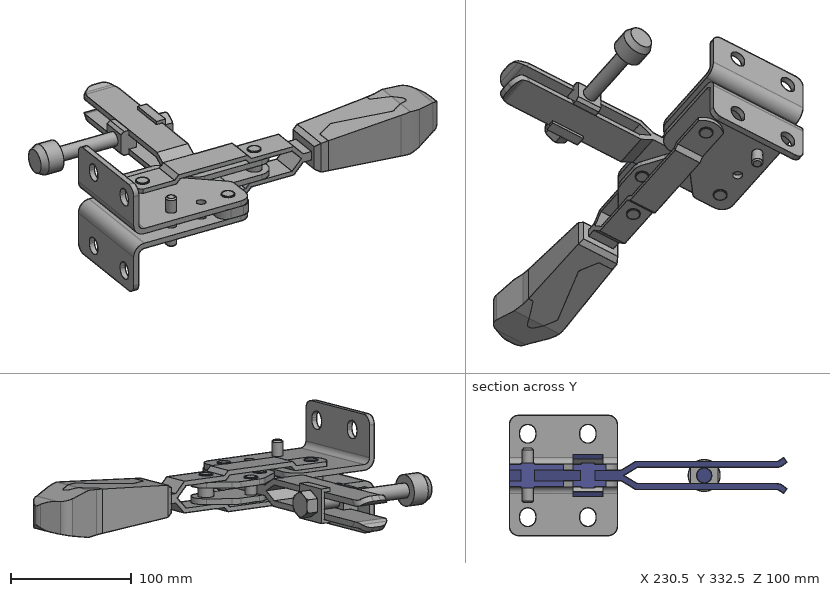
import cadquery as cq
import math


arm_sheet = 5.0
arm_tail = 9.0
arm_tail_half = arm_tail / 2
base_sheet = 5.0
lever_sheet = 4.0
bracket_outer = arm_tail_half + base_sheet
lever_outer = bracket_outer + lever_sheet
rivet_head = 1.0
rivet_dia = 11.5
rivet_chamfer = 0.5

lever_pivot = (0, 47.2)
link_lever_pivot = (0, 155.0)
link_arm_pivot = (0, 99.8)
arm_pivot = (50, 100.0)

overall_width = 230.5
arm_width = 30
arm_low = link_arm_pivot[1] - arm_width / 2
arm_high = arm_low + arm_width
base_right = 65.2
base_top = arm_high

base_left = -24.5
base_shelf = 83.5
shelf_end = 6.5
slope_top = 32.5
shelf_fillet = 14.0
top_fillet = 11.3
slope_fillet = 6.5
bend_inner = 5.3
overall_height = 100.0
flange_half = overall_height / 2
flange_corner = 8.0
slot_width = 13.3
slot_length = 15.3
slot_z = 34.5
plain_hole_dia = 8.0
plain_hole = (arm_pivot[0], 74.0)
stop_pin = (arm_pivot[0], 45.2)
stop_pin_dia = 9.3
stop_pin_half = 22.5
stop_pin_chamfer = 1.3
lever_spacer_dia = 20.3

arm_left = base_right - overall_width
arm_half = 11.5
fork_start = -27.5
fork_end = -39.5
tip_bend = -157.5
tip_angle = 36
tip_bend_inner = 3.3
tip_fillet = 11.3
tail_fillet = 9.0

lever_width = 25.0
lever_foot = 35.0
lever_foot_radius = 17.3
lever_neck_half = lever_sheet
lever_end = 202.8
lever_bends = [(195.0, 186.0), (145.0, 141.0), (74.8, 70.8)]
lever_raised = lever_outer + lever_sheet

link_end_radius = lever_width / 2
link_corner_offset = 13.5
link_corner_fillet = 13.3
link_spacer_dia = 13.3
stop_rivet = (-15.0, 119.7)

spindle_x = -96.5
rod_dia = 12.5
hex_flats = 19.5
hex_end = 128.5
hex_chamfer = 1.0
washer_thickness = 3.0
washer_length = 30.5
washer_half = 14.5
washer_lip_end = 109.0
block_length = 22.5
block_half = 11.3
block_low = 77.0
block_inner_top = 92.0
block_chamfer_y = 3.0
block_chamfer_z = 2.3
foot_dia = 26.5
foot_top = 21.0
foot_chamfer_top = 6.5
foot_end_dia = 20.5
foot_end = 0.5

grip_top = 332.5
grip_chamfer_top = 207.8
grip_crest = 293.5
grip_crown = 324.0
grip_crest_half = 20
grip_shoulder_half = 13.5
grip_foot_half = 10.5
grip_end_half = 8.0
left_seam = 277.0
right_seam = 214.8


def both_sides(shape):
    """The shape joined with its mirror image about the mid-plane."""
    return shape.union(shape.mirror("XY"))


def pin(place, diameter, half_length, chamfer=0):
    """Round pin along Z, centred on the mid-plane."""
    body = (
        cq.Workplane("XY", origin=(*place, -half_length))
        .circle(diameter / 2)
        .extrude(2 * half_length)
    )
    if chamfer:
        body = body.faces("<Z or >Z").chamfer(chamfer)
    return body


def rivet(place, outer_face):
    """Rivet whose ends stand proud of the given outer faces."""
    return pin(place, rivet_dia, outer_face + rivet_head, rivet_chamfer)


def sheet_outline(outer, thickness):
    """Closed section of a bent sheet from its outer line; the sheet lies to the right of that line."""
    headings = [math.atan2(b[1] - a[1], b[0] - a[0]) for a, b in zip(outer, outer[1:])]
    inner = []
    for index, (along, up) in enumerate(outer):
        before = headings[max(index - 1, 0)]
        after = headings[min(index, len(headings) - 1)]
        bisector = (before + after) / 2
        reach = thickness / math.cos((after - before) / 2)
        inner.append((along + reach * math.sin(bisector), up - reach * math.cos(bisector)))
    return outer + inner[::-1]


def make_base():
    plate_outline = [
        (base_left, base_sheet + bend_inner),
        (base_left, base_shelf),
        (shelf_end, base_shelf),
        (slope_top, base_top),
        (base_right, base_top),
        (base_right, base_sheet + bend_inner),
    ]
    plate = (
        cq.Workplane("XY", origin=(0, 0, arm_tail_half))
        .polyline(plate_outline).close().extrude(base_sheet)
    )
    plate_mid = arm_tail_half + base_sheet / 2
    for corner, radius in (
        ((base_left, base_shelf), shelf_fillet),
        ((slope_top, base_top), slope_fillet),
        ((base_right, base_top), top_fillet),
    ):
        plate = plate.edges(cq.selectors.NearestToPointSelector((*corner, plate_mid))).fillet(radius)

    bend_outer = bend_inner + base_sheet
    bend_z = arm_tail_half + bend_outer
    diagonal = math.sqrt(0.5)
    bend_and_flange = (
        cq.Workplane("YZ", origin=(base_left, 0, 0))
        .moveTo(bend_outer, arm_tail_half)
        .threePointArc(
            (bend_outer * (1 - diagonal), bend_z - bend_outer * diagonal),
            (0, bend_z),
        )
        .lineTo(0, flange_half)
        .lineTo(base_sheet, flange_half)
        .lineTo(base_sheet, bend_z)
        .threePointArc(
            (bend_outer - bend_inner * diagonal, bend_z - bend_inner * diagonal),
            (bend_outer, bracket_outer),
        )
        .close()
        .extrude(base_right - base_left)
        .faces(">Z").edges("|Y").fillet(flange_corner)
    )
    slots = (
        cq.Workplane("XZ")
        .pushPoints([(lever_pivot[0], slot_z), (arm_pivot[0], slot_z)])
        .slot2D(slot_length, slot_width, 90)
        .extrude(-base_sheet)
    )
    brackets = both_sides(plate.union(bend_and_flange).cut(slots))
    return (
        brackets
        .cut(pin(plain_hole, plain_hole_dia, bracket_outer))
        .union(pin(stop_pin, stop_pin_dia, stop_pin_half, stop_pin_chamfer))
        .union(rivet(arm_pivot, bracket_outer))
        .union(rivet(lever_pivot, lever_outer))
        .union(pin(lever_pivot, lever_spacer_dia, arm_tail_half))
    )


def make_arm():
    tilt = math.radians(tip_angle)
    tip_x = arm_left + arm_sheet * math.sin(tilt)
    tip_z = arm_half + (tip_bend - tip_x) * math.tan(tilt)
    outer_line = [
        (tip_x, tip_z),
        (tip_bend, arm_half),
        (fork_end, arm_half),
        (fork_start, arm_tail_half),
        (base_right, arm_tail_half),
    ]
    half = (
        cq.Workplane("XZ", origin=(0, arm_low, 0))
        .polyline(sheet_outline(outer_line, arm_sheet)).close()
        .extrude(-arm_width)
        .edges("|Z and >X").fillet(tail_fillet)
    )
    inner_bend = (tip_bend - arm_sheet * math.tan(tilt / 2), arm_half - arm_sheet)
    for (bend_x, bend_z), radius in (
        ((tip_bend, arm_half), tip_bend_inner),
        (inner_bend, tip_bend_inner + arm_sheet),
    ):
        bend_edge = cq.selectors.NearestToPointSelector((bend_x, arm_low + arm_width / 2, bend_z))
        half = half.edges(bend_edge).fillet(radius)

    reach = 2 * (base_right - arm_left)
    tip_plane = cq.Plane(
        origin=(tip_x, arm_low, tip_z),
        xDir=(math.cos(tilt), 0, -math.sin(tilt)),
        normal=(math.sin(tilt), 0, math.cos(tilt)),
    )
    tip_outline = (
        cq.Workplane(tip_plane)
        .rect(reach, arm_width, centered=False)
        .extrude(reach, both=True)
        .faces(cq.selectors.DirectionMinMaxSelector(tip_plane.xDir, False))
        .edges(cq.selectors.ParallelDirSelector(tip_plane.zDir))
        .fillet(tip_fillet)
    )
    arm = both_sides(half.intersect(tip_outline))
    for place in (arm_pivot, link_arm_pivot):
        arm = arm.cut(pin(place, rivet_dia, arm_half))
    return arm


def make_lever():
    (neck_top, neck_low), (raise_top, raise_low), (drop_top, drop_low) = lever_bends
    outer_line = [
        (0, lever_outer),
        (drop_low, lever_outer),
        (drop_top, lever_raised),
        (raise_low, lever_raised),
        (raise_top, lever_outer),
        (neck_low, lever_outer),
        (neck_top, lever_neck_half),
        (lever_end, lever_neck_half),
    ]
    strip = (
        cq.Workplane("YZ", origin=(-lever_width / 2, 0, 0))
        .polyline(sheet_outline(outer_line, lever_sheet)).close()
        .extrude(lever_width)
    )
    foot_rise = lever_foot_radius - math.sqrt(lever_foot_radius**2 - (lever_width / 2) ** 2)
    plan = (
        cq.Workplane("XY")
        .moveTo(-lever_width / 2, lever_end)
        .lineTo(-lever_width / 2, lever_foot + foot_rise)
        .threePointArc((0, lever_foot), (lever_width / 2, lever_foot + foot_rise))
        .lineTo(lever_width / 2, lever_end)
        .close()
        .extrude(lever_raised, both=True)
    )
    lever = both_sides(strip).intersect(plan)
    for place in (lever_pivot, link_lever_pivot):
        lever = lever.cut(pin(place, rivet_dia, lever_raised))
    return lever


def make_links():
    middle = (link_lever_pivot[1] + link_arm_pivot[1]) / 2
    half_pitch = link_lever_pivot[1] - middle
    to_corner_x = base_left
    to_corner_y = link_corner_offset - half_pitch
    to_corner = math.hypot(to_corner_x, to_corner_y)
    heading = math.atan2(to_corner_y, to_corner_x) - math.acos(link_end_radius / to_corner)
    touch_x = link_end_radius * math.cos(heading)
    touch_y = half_pitch + link_end_radius * math.sin(heading)
    end_y = half_pitch + link_end_radius * math.sin(math.pi / 4)
    end_x = link_end_radius * math.cos(math.pi / 4)
    plate = (
        cq.Workplane("XY", origin=(0, middle, arm_tail_half))
        .moveTo(link_end_radius, -half_pitch)
        .lineTo(link_end_radius, half_pitch)
        .threePointArc((end_x, end_y), (touch_x, touch_y))
        .lineTo(base_left, link_corner_offset)
        .lineTo(base_left, -link_corner_offset)
        .lineTo(touch_x, -touch_y)
        .threePointArc((end_x, -end_y), (link_end_radius, -half_pitch))
        .close()
        .extrude(base_sheet)
        .edges("|Z and <X").fillet(link_corner_fillet)
    )
    stop_shaft_dia = 2 * (stop_rivet[1] - arm_high)
    stop_heads = rivet(stop_rivet, bracket_outer).cut(pin(stop_rivet, rivet_dia, arm_tail_half))
    return (
        both_sides(plate)
        .union(stop_heads)
        .union(pin(stop_rivet, stop_shaft_dia, bracket_outer))
        .union(pin(link_lever_pivot, link_spacer_dia, arm_tail_half))
        .union(rivet(link_lever_pivot, lever_outer))
        .union(rivet(link_arm_pivot, bracket_outer))
    )


def make_spindle():
    washer_top = arm_high + washer_thickness
    rod_and_foot = (
        cq.Workplane("YZ", origin=(spindle_x, 0, 0))
        .polyline([
            (foot_end, 0),
            (foot_end, foot_end_dia / 2),
            (foot_chamfer_top, foot_dia / 2),
            (foot_top, foot_dia / 2),
            (foot_top, rod_dia / 2),
            (washer_top, rod_dia / 2),
            (washer_top, 0),
        ])
        .close()
        .revolve(360, (0, 0, 0), (1, 0, 0))
    )
    hex_head = (
        cq.Workplane("XZ", origin=(spindle_x, washer_top, 0))
        .polygon(6, hex_flats, circumscribed=True)
        .extrude(washer_top - hex_end)
    )
    hex_rounding = (
        cq.Workplane("XZ", origin=(spindle_x, washer_top, 0))
        .circle(hex_flats / math.sqrt(3))
        .extrude(washer_top - hex_end)
        .faces(">Y").chamfer(hex_chamfer)
    )
    hex_head = hex_head.intersect(hex_rounding)
    fork_inner = arm_half - arm_sheet
    washer_section = [
        (washer_top, 0),
        (washer_top, washer_half),
        (washer_lip_end, washer_half),
        (washer_lip_end, arm_half),
        (arm_high, arm_half),
        (arm_high, 0),
    ]
    block_section = [
        (block_inner_top, 0),
        (block_inner_top, fork_inner),
        (arm_low, fork_inner),
        (arm_low, block_half),
        (block_low + block_chamfer_y, block_half),
        (block_low, block_half - block_chamfer_z),
        (block_low, 0),
    ]
    spindle = rod_and_foot.union(hex_head)
    for section, length in ((washer_section, washer_length), (block_section, block_length)):
        half = (
            cq.Workplane("YZ", origin=(spindle_x, 0, 0))
            .polyline(section).close().extrude(length / 2, both=True)
        )
        spindle = spindle.union(both_sides(half))
    return spindle


def make_whole_grip():
    """Bent plan outline crossed with the bulged outline seen along X."""
    plan = (
        cq.Workplane("XY")
        .moveTo(17.0, lever_end)
        .lineTo(19.5, grip_chamfer_top)
        .lineTo(20.5, 284.3)
        .threePointArc((20, 294.5), (17.0, 304.2))
        .lineTo(6.3, grip_crown)
        .threePointArc((2.0, 330.2), (-4.3, grip_top))
        .threePointArc((-6.5, 332.2), (-9.0, 331.2))
        .lineTo(-25.3, 322.5)
        .threePointArc((-29.3, 318.5), (-30, 313.2))
        .lineTo(-23.0, 284.0)
        .threePointArc((-22.5, 281.0), (-22.3, left_seam))
        .lineTo(-19.3, grip_chamfer_top)
        .lineTo(-17.3, lever_end)
        .close()
        .extrude(grip_crest, both=True)
    )
    side_half = (
        cq.Workplane("YZ")
        .moveTo(lever_end, 0)
        .lineTo(lever_end, grip_foot_half)
        .lineTo(grip_chamfer_top, grip_shoulder_half)
        .lineTo(grip_crest, grip_crest_half)
        .lineTo(grip_crown, grip_shoulder_half)
        .threePointArc((329.5, 11.3), (grip_top, grip_end_half))
        .lineTo(grip_top, 0)
        .close()
        .extrude(grip_top, both=True)
    )
    return plan.intersect(both_sides(side_half))


def make_seam_region():
    """Space on the lever side of the curved seam that divides the grip."""
    corners = [
        ((-17.5, left_seam), 1.5),
        ((-4.3, 308.0), 4.0),
        ((10.5, 282.5), 3.3),
        ((-3.3, 230.8), 4.0),
        ((6.0, right_seam), 1.5),
    ]
    beyond = 2 * lever_width
    outline = [(-beyond, lever_end), (-beyond, left_seam)]
    outline += [corner for corner, radius in corners]
    outline += [(beyond, right_seam), (beyond, lever_end)]
    region = cq.Workplane("XY").polyline(outline).close().extrude(beyond, both=True)
    for corner, radius in corners:
        region = region.edges(cq.selectors.NearestToPointSelector((*corner, 0))).fillet(radius)
    return region


base = make_base()
arm = make_arm()
lever = make_lever()
links = make_links()
spindle = make_spindle()
whole_grip = make_whole_grip()
seam_region = make_seam_region()
grip_core = whole_grip.intersect(seam_region)
grip_cap = whole_grip.cut(seam_region)

bodies = [base, arm, lever, links, spindle, grip_core, grip_cap]
result = cq.Compound.makeCompound([body.solids().val() for body in bodies])